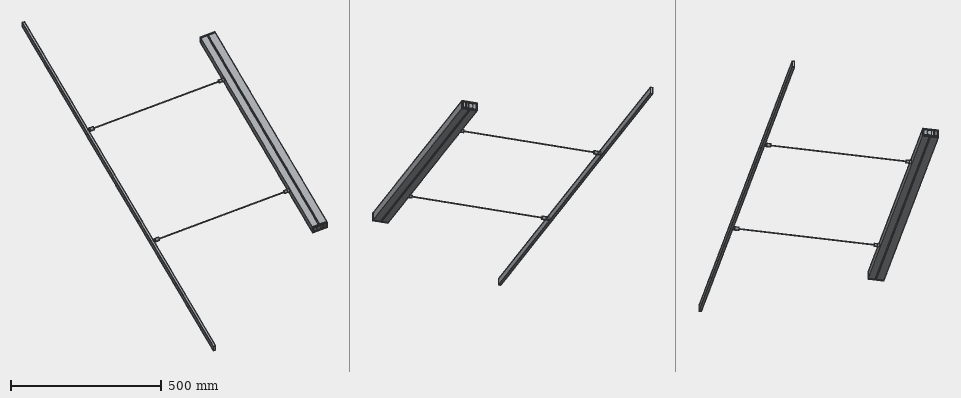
import cadquery as cq

TOTAL_HEIGHT = 563.0

BAR_LENGTH = 1498.0
BAR_THICKNESS = 9.0
BAR_WIDTH = 24.0
BAR_CHAMFER = 0.7

MODULE_COUNT = 7
MODULE_PITCH = 200.0
HOLE_SPACING = 93.0
HOLE_DIAMETER = 2.2
HOLE_DEPTH = 1.0
HOLE_Z = -7.0

HOUSING_LENGTH = 881.0
HOUSING_DEPTH = 54.0
HOUSING_WIDTH = 28.0
HOUSING_FRONT = TOTAL_HEIGHT - HOUSING_DEPTH
CAP_THICKNESS = 5.0
SEAM_WIDTH = 1.0
SEAM_DEPTH = 0.7

GROOVE_CENTRE = HOUSING_FRONT + 25.0
GROOVE_WIDTH = 5.0
GROOVE_DEPTH = 1.0

RECESS_DEPTH = 1.0
RECESS_WIDTH = 20.0
FRONT_RECESS_START = HOUSING_FRONT + 5.0
FRONT_RECESS_LENGTH = 22.0
BOSS_HALF_WIDTH = 9.0
BOSS_LENGTH = 12.0
SLOT_STARTS = (HOUSING_FRONT + 30.0, HOUSING_FRONT + 42.0)
SLOT_LENGTH = 7.0

CABLE_SPACING = 511.0
CABLE_DIAMETER = 2.2
FITTING_DIAMETER = 12.0
NECK_DIAMETER = 7.0
UPPER_FITTING_LENGTH = 18.0
UPPER_FITTING_DIAMETER = 10.0
FLANGE_LENGTH = 7.0
COLLAR_LENGTH = 6.0
NECK_LENGTH = 3.0
BARREL_LENGTH = 13.0
OVERLAP = 1.0


def box(length, width, start, depth):
    """Box centred in X and Z that spans start .. start + depth in Y."""
    return cq.Workplane("XY").box(length, depth, width).translate((0, start + depth / 2, 0))


def rod(x, diameter, start, end):
    """Round rod along Y."""
    plane = cq.Plane(origin=(x, start, 0), xDir=(1, 0, 0), normal=(0, 1, 0))
    return cq.Workplane(plane).circle(diameter / 2).extrude(end - start)


def light_bar():
    bar = box(BAR_LENGTH, BAR_WIDTH, 0, BAR_THICKNESS).edges().chamfer(BAR_CHAMFER)
    for module in range(MODULE_COUNT):
        module_x = (module - (MODULE_COUNT - 1) / 2) * MODULE_PITCH
        for side in (-1, 1):
            hole = rod(module_x + side * HOLE_SPACING / 2, HOLE_DIAMETER, 0, HOLE_DEPTH)
            bar = bar.cut(hole.translate((0, 0, HOLE_Z)))
    return bar


def end_recesses():
    """Cutter for the recesses of one end cap, as deep in X as RECESS_DEPTH."""
    boss_base = FRONT_RECESS_START + FRONT_RECESS_LENGTH
    boss = (
        cq.Workplane("YZ")
        .moveTo(boss_base, BOSS_HALF_WIDTH)
        .threePointArc((boss_base - BOSS_LENGTH, 0), (boss_base, -BOSS_HALF_WIDTH))
        .close()
        .extrude(RECESS_DEPTH, both=True)
    )
    recesses = box(RECESS_DEPTH, RECESS_WIDTH, FRONT_RECESS_START, FRONT_RECESS_LENGTH).cut(boss)
    for slot_start in SLOT_STARTS:
        recesses = recesses.union(box(RECESS_DEPTH, RECESS_WIDTH, slot_start, SLOT_LENGTH))
    return recesses


def cap_seam():
    """Ring-shaped cutter for the shallow seam between an end cap and the body."""
    outer = box(SEAM_WIDTH, HOUSING_WIDTH, HOUSING_FRONT, HOUSING_DEPTH)
    core_width = HOUSING_WIDTH - 2 * SEAM_DEPTH
    core_depth = HOUSING_DEPTH - 2 * SEAM_DEPTH
    return outer.cut(box(SEAM_WIDTH, core_width, HOUSING_FRONT + SEAM_DEPTH, core_depth))


def housing():
    body = box(HOUSING_LENGTH, HOUSING_WIDTH, HOUSING_FRONT, HOUSING_DEPTH)
    groove_length = HOUSING_LENGTH - 2 * CAP_THICKNESS
    groove_start = GROOVE_CENTRE - GROOVE_WIDTH / 2
    groove = box(groove_length, 2 * GROOVE_DEPTH, groove_start, GROOVE_WIDTH)
    seam_x = HOUSING_LENGTH / 2 - CAP_THICKNESS + SEAM_WIDTH / 2
    recess_x = (HOUSING_LENGTH - RECESS_DEPTH) / 2
    for side in (-1, 1):
        body = body.cut(groove.translate((0, 0, side * HOUSING_WIDTH / 2)))
        body = body.cut(cap_seam().translate((side * seam_x, 0, 0)))
        body = body.cut(end_recesses().translate((side * recess_x, 0, 0)))
    return body


def suspension(x):
    """One cable with a flanged fitting at the housing and a necked one at the bar."""
    collar_end = BAR_THICKNESS + COLLAR_LENGTH
    neck_end = collar_end + NECK_LENGTH
    barrel_end = neck_end + BARREL_LENGTH
    upper_start = HOUSING_FRONT - UPPER_FITTING_LENGTH
    collar = rod(x, FITTING_DIAMETER, BAR_THICKNESS - OVERLAP, collar_end)
    neck = rod(x, NECK_DIAMETER, collar_end - OVERLAP, neck_end + OVERLAP)
    barrel = rod(x, FITTING_DIAMETER, neck_end, barrel_end)
    cable = rod(x, CABLE_DIAMETER, barrel_end - OVERLAP, upper_start + OVERLAP)
    upper = rod(x, UPPER_FITTING_DIAMETER, upper_start, HOUSING_FRONT + OVERLAP)
    flange = rod(x, FITTING_DIAMETER, HOUSING_FRONT - FLANGE_LENGTH, HOUSING_FRONT + OVERLAP)
    return collar.union(neck).union(barrel).union(cable).union(upper).union(flange)


result = light_bar().union(housing())
for cable_side in (-1, 1):
    result = result.union(suspension(cable_side * CABLE_SPACING / 2))